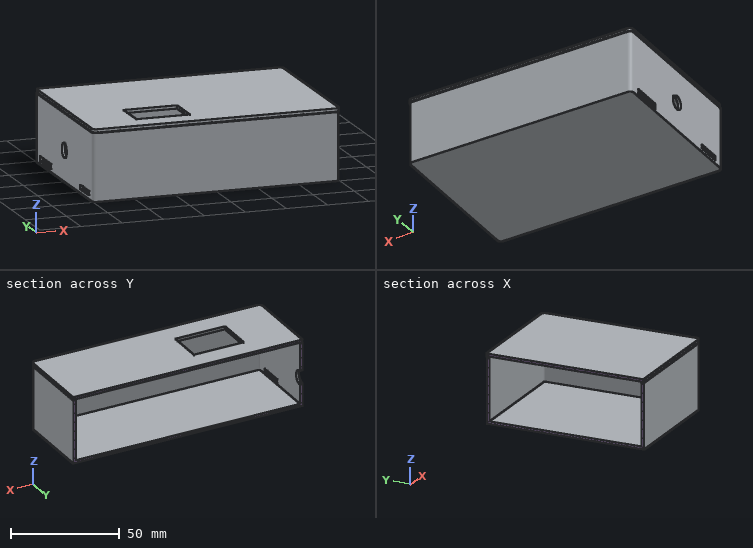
import cadquery as cq

length = 120.0
width = 80.0
corner_radius = 2.0

box_height = 32.7
wall = 1.5
floor = 1.5

cable_hole_diameter = 7.0
cable_hole_height = 15.0
slot_top = 4.0
slot_side_margin = 6.0
wide_slot_width = 15.2
wide_slot_height = 2.45
narrow_slot_width = 12.0
narrow_slot_height = 2.0

lid_thickness = 1.56
lid_gap = 0.25
lid_shift_x = 0.2
lid_shift_y = 0.15
lid_bottom = box_height + lid_gap

window_length = 26.0
window_width = 18.0
window_margin_x = 25.0
window_margin_y = 11.55


def rounded_block(block_length, block_width, height, radius, bottom):
    """Block standing at the given bottom height, with rounded vertical edges."""
    block = cq.Workplane("XY", origin=(0, 0, bottom)).rect(block_length, block_width).extrude(height)
    return block.edges("|Z").fillet(radius)


def wall_slot(center_y, slot_width, slot_height):
    """Cutter for a rectangular slot through the -X wall."""
    cutter = cq.Workplane("XY").box(2 * wall, slot_width, slot_height)
    return cutter.translate((-length / 2, center_y, slot_top - slot_height / 2))


def make_box():
    """Open-topped box with a cable hole and two slots in its -X wall."""
    outer = rounded_block(length, width, box_height, corner_radius, 0)
    cavity = rounded_block(
        length - 2 * wall,
        width - 2 * wall,
        box_height - floor,
        corner_radius - wall,
        floor,
    )
    cable_hole = (
        cq.Workplane("YZ", origin=(-length / 2, 0, cable_hole_height))
        .circle(cable_hole_diameter / 2)
        .extrude(wall, both=True)
    )
    slot_limit_y = width / 2 - slot_side_margin
    wide_slot = wall_slot(slot_limit_y - wide_slot_width / 2, wide_slot_width, wide_slot_height)
    narrow_slot = wall_slot(narrow_slot_width / 2 - slot_limit_y, narrow_slot_width, narrow_slot_height)
    return outer.cut(cavity).cut(cable_hole).cut(wide_slot).cut(narrow_slot)


def make_lid():
    """Flat plate with a rectangular window."""
    plate = rounded_block(length, width, lid_thickness, corner_radius, lid_bottom)
    window_center_x = window_margin_x + window_length / 2 - length / 2
    window_center_y = window_margin_y + window_width / 2 - width / 2
    window = (
        cq.Workplane("XY", origin=(window_center_x, window_center_y, lid_bottom))
        .rect(window_length, window_width)
        .extrude(lid_thickness)
    )
    return plate.cut(window).translate((lid_shift_x, lid_shift_y, 0))


box = make_box()
lid = make_lid()

result = cq.Compound.makeCompound([box.val(), lid.val()])